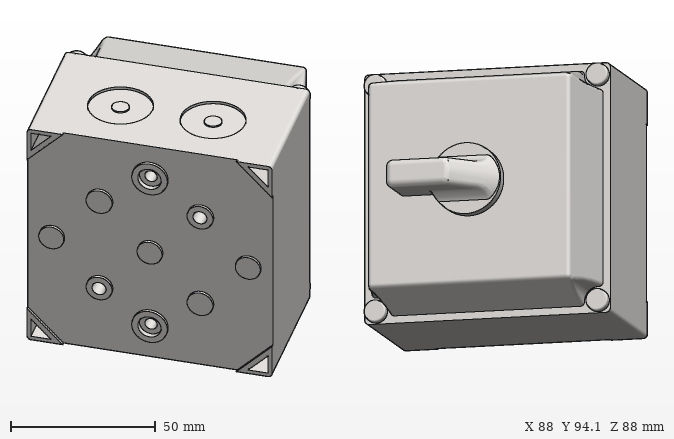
import cadquery as cq
import math


BASE_SIZE = 88.0
BASE_TOP_Y = 49.2
BASE_CORNER_RADIUS = 1.6
PAD_HEIGHT = 1.1

FOOT_LEG = 12.9
FOOT_POCKET_LEG = 7.15
FOOT_POCKET_INSET = 1.5
FOOT_POCKET_DEPTH = 10.0

SIDE_PAD_OFFSET = 35.25
SIDE_PAD_RADIUS = 4.5
DIAGONAL_PAD_OFFSET = 18.1
DIAGONAL_PAD_RADIUS = 4.65
DIAGONAL_HOLE_RADIUS = 2.5
DIAGONAL_HOLE_DEPTH = 10.0
MOUNT_PAD_OFFSET = 30.9
MOUNT_PAD_RADIUS = 6.4
MOUNT_BORE_RADIUS = 4.15
MOUNT_BORE_DEPTH = 2.0
MOUNT_HOLE_RADIUS = 2.2
MOUNT_HOLE_DEPTH = 10.0

KNOCKOUT_OFFSET_X = 16.6
KNOCKOUT_Y = 22.5
KNOCKOUT_RADIUS = 11.4
KNOCKOUT_DEPTH = 1.0
KNOCKOUT_BOSS_RADIUS = 3.1
KNOCKOUT_BOSS_HEIGHT = 0.5

COVER_TOP_Y = 73.9
COVER_BOTTOM_HALF = 41.4
COVER_TOP_HALF = 36.0
COVER_FILLET = 1.5
SCREW_OFFSET = 39.75
SCOOP_RADIUS = 5.0
SCREW_HEAD_RADIUS = 3.9
SCREW_HEAD_HEIGHT = 2.7
SCREW_HEAD_FILLET = 0.6

KNOB_RADIUS = 12.5
KNOB_DISC_TOP_Y = 78.1
KNOB_TOP_Y = 94.1
BLADE_HALF_WIDTH = 4.85
BLADE_END_X = 24.6
BLADE_LOWER_Y = 76.25
SLOPE_FOOT_X = -12.1
SLOPE_TOP_X = 2.3
CROWN_RADIUS = KNOB_RADIUS
BLADE_FILLET = 2.3
FLARE_RADIUS = 6.0
FLARE_TOP_Y = 83.3
FLARE_ANGLE = math.radians(80)
ROOT_LENGTH = 2.5 * KNOB_RADIUS

CORNER_SIGNS = [(sx, sz) for sx in (-1, 1) for sz in (-1, 1)]


def plane_at(y):
    """Sketch plane at height y: local x is X, local y is Z; a negative extrusion runs along +Y."""
    return cq.Workplane(cq.Plane(origin=(0, y, 0), xDir=(1, 0, 0), normal=(0, -1, 0)))


def disc(x, z, radius, y_from, y_to):
    """Cylinder along Y."""
    return plane_at(y_from).center(x, z).circle(radius).extrude(y_from - y_to)


def corner_triangle(sx, sz, inset, leg, y_from, y_to):
    """Right-angled prism in one corner of the base, legs along the sides."""
    corner = BASE_SIZE / 2 - inset
    points = [
        (sx * corner, sz * corner),
        (sx * (corner - leg), sz * corner),
        (sx * corner, sz * (corner - leg)),
    ]
    return plane_at(y_from).polyline(points).close().extrude(y_from - y_to)


def make_base():
    block = plane_at(0).rect(BASE_SIZE, BASE_SIZE).extrude(-BASE_TOP_Y)
    block = block.edges("|Y").fillet(BASE_CORNER_RADIUS)

    relief = plane_at(0).rect(BASE_SIZE, BASE_SIZE).extrude(-PAD_HEIGHT)
    for sx, sz in CORNER_SIGNS:
        relief = relief.cut(corner_triangle(sx, sz, 0, FOOT_LEG, 0, PAD_HEIGHT))
        relief = relief.cut(disc(sx * DIAGONAL_PAD_OFFSET, sz * DIAGONAL_PAD_OFFSET,
                                 DIAGONAL_PAD_RADIUS, 0, PAD_HEIGHT))
    for x in (-SIDE_PAD_OFFSET, 0, SIDE_PAD_OFFSET):
        relief = relief.cut(disc(x, 0, SIDE_PAD_RADIUS, 0, PAD_HEIGHT))
    for z in (-MOUNT_PAD_OFFSET, MOUNT_PAD_OFFSET):
        relief = relief.cut(disc(0, z, MOUNT_PAD_RADIUS, 0, PAD_HEIGHT))
    base = block.cut(relief)

    for sx, sz in CORNER_SIGNS:
        base = base.cut(corner_triangle(sx, sz, FOOT_POCKET_INSET, FOOT_POCKET_LEG, 0, FOOT_POCKET_DEPTH))
    for side in (-1, 1):
        base = base.cut(disc(side * DIAGONAL_PAD_OFFSET, side * DIAGONAL_PAD_OFFSET,
                             DIAGONAL_HOLE_RADIUS, 0, DIAGONAL_HOLE_DEPTH))
        base = base.cut(disc(0, side * MOUNT_PAD_OFFSET, MOUNT_BORE_RADIUS, 0, MOUNT_BORE_DEPTH))
        base = base.cut(disc(0, side * MOUNT_PAD_OFFSET, MOUNT_HOLE_RADIUS, 0, MOUNT_HOLE_DEPTH))
        base = base.cut(make_knockout(side * KNOCKOUT_OFFSET_X))
    return base


def make_knockout(x):
    """Shallow round recess with a low central boss left in it."""
    floor = cq.Workplane("XY", origin=(x, KNOCKOUT_Y, BASE_SIZE / 2 - KNOCKOUT_DEPTH))
    recess = floor.circle(KNOCKOUT_RADIUS).extrude(KNOCKOUT_DEPTH)
    boss = floor.circle(KNOCKOUT_BOSS_RADIUS).extrude(KNOCKOUT_BOSS_HEIGHT)
    return recess.cut(boss)


def make_cover():
    cover = (
        plane_at(BASE_TOP_Y).rect(2 * COVER_BOTTOM_HALF, 2 * COVER_BOTTOM_HALF)
        .workplane(offset=BASE_TOP_Y - COVER_TOP_Y).rect(2 * COVER_TOP_HALF, 2 * COVER_TOP_HALF)
        .loft(ruled=True)
    )
    for sx, sz in CORNER_SIGNS:
        cover = cover.cut(disc(sx * SCREW_OFFSET, sz * SCREW_OFFSET, SCOOP_RADIUS, BASE_TOP_Y, COVER_TOP_Y))
    seam = cq.selectors.BoxSelector(
        (-BASE_SIZE, 0, -BASE_SIZE), (BASE_SIZE, BASE_TOP_Y + SCREW_HEAD_HEIGHT, BASE_SIZE), boundingbox=True)
    return cover.edges(cq.selectors.InverseSelector(seam)).fillet(COVER_FILLET)


def make_screw_head(sx, sz):
    head = disc(sx * SCREW_OFFSET, sz * SCREW_OFFSET, SCREW_HEAD_RADIUS,
                BASE_TOP_Y, BASE_TOP_Y + SCREW_HEAD_HEIGHT)
    return head.faces(">Y").edges().fillet(SCREW_HEAD_FILLET)


def make_enclosure():
    enclosure = make_base().union(make_cover())
    for sx, sz in CORNER_SIGNS:
        enclosure = enclosure.union(make_screw_head(sx, sz))
    return enclosure


def make_crowned_slope():
    """Space behind the sloped front: a prism along the slope with a round crown facing out."""
    run = SLOPE_TOP_X - SLOPE_FOOT_X
    rise = KNOB_TOP_Y - KNOB_DISC_TOP_Y
    length = math.hypot(run, rise)
    slope_plane = cq.Plane(
        origin=(SLOPE_FOOT_X, KNOB_DISC_TOP_Y, 0), xDir=(rise, -run, 0), normal=(run, rise, 0))
    depth = 2 * BLADE_END_X
    return (
        cq.Workplane(slope_plane)
        .moveTo(CROWN_RADIUS, -CROWN_RADIUS)
        .threePointArc((0, 0), (CROWN_RADIUS, CROWN_RADIUS))
        .lineTo(depth, CROWN_RADIUS)
        .lineTo(depth, -CROWN_RADIUS)
        .close().extrude(2 * length, both=True)
    )


def make_overhang():
    """Plain rear half of the blade, from the knob axis out past the disc."""
    return (
        cq.Workplane("XY", origin=(0, BLADE_LOWER_Y, 0))
        .box(BLADE_END_X, KNOB_TOP_Y - BLADE_LOWER_Y, 2 * BLADE_HALF_WIDTH, centered=(False, False, True))
    )


def make_grip():
    """Grip blade with concave flanks flaring out at its root, sloped at the front."""
    arc_center_z = BLADE_HALF_WIDTH + FLARE_RADIUS
    middle_z = arc_center_z - FLARE_RADIUS * math.cos(FLARE_ANGLE / 2)
    middle_y = FLARE_TOP_Y - FLARE_RADIUS * math.sin(FLARE_ANGLE / 2)
    foot_z = arc_center_z - FLARE_RADIUS * math.cos(FLARE_ANGLE)
    foot_y = FLARE_TOP_Y - FLARE_RADIUS * math.sin(FLARE_ANGLE)
    root = (
        cq.Workplane("ZY", origin=(KNOB_RADIUS, 0, 0))
        .moveTo(-foot_z, foot_y)
        .threePointArc((-middle_z, middle_y), (-BLADE_HALF_WIDTH, FLARE_TOP_Y))
        .lineTo(-BLADE_HALF_WIDTH, KNOB_TOP_Y)
        .lineTo(BLADE_HALF_WIDTH, KNOB_TOP_Y)
        .lineTo(BLADE_HALF_WIDTH, FLARE_TOP_Y)
        .threePointArc((middle_z, middle_y), (foot_z, foot_y))
        .close().extrude(ROOT_LENGTH)
    )
    grip = root.union(make_overhang()).intersect(make_crowned_slope())
    slope = grip.faces("%CYLINDER").faces("<X")
    slope_sides = slope.edges("not (<Y or >Y)")
    rim = grip.faces(">Y").edges()
    end_sides = grip.faces(">X").edges("|Y")
    return grip.newObject([*slope_sides.vals(), *rim.vals(), *end_sides.vals()]).fillet(BLADE_FILLET)


def make_knob():
    column = disc(0, 0, KNOB_RADIUS, COVER_TOP_Y, KNOB_TOP_Y)
    grip = make_grip().intersect(column.union(make_overhang()))
    return grip.union(disc(0, 0, KNOB_RADIUS, COVER_TOP_Y, KNOB_DISC_TOP_Y))


enclosure = make_enclosure()
knob = make_knob()

result = cq.Compound.makeCompound([enclosure.val(), knob.val()])